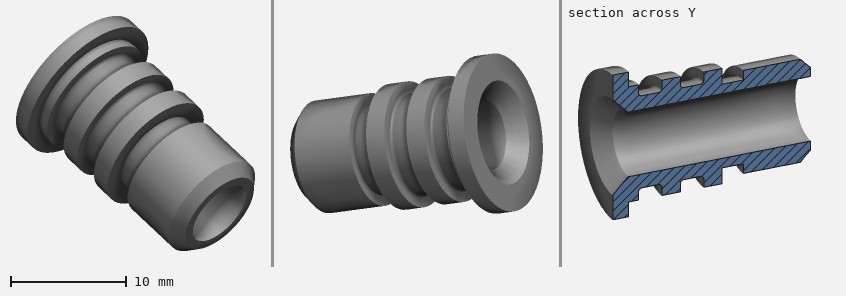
import cadquery as cq

length = 19.0
flange_diameter = 13.8
flange_thickness = 1.55
collar_diameter = 11.0
first_collar_width = 0.95
rib_width = 1.8
groove_diameter = 8.8
groove_width = 2.2
groove_fillet = 0.3
neck_diameter = 8.0
neck_width = 2.0
nose_diameter = 9.85
nose_chamfer = 1.0
bore_diameter = 6.1
countersink_diameter = 9.06
countersink_depth = 1.48

first_groove_start = flange_thickness + first_collar_width
groove_pitch = groove_width + rib_width
groove_starts = [first_groove_start + i * groove_pitch for i in range(2)]
neck_start = first_groove_start + 2 * groove_pitch
nose_start = neck_start + neck_width


def cylinder(start, end, diameter):
    """Solid cylinder centred on the X axis."""
    return cq.Workplane("YZ", origin=(start, 0, 0)).circle(diameter / 2).extrude(end - start)


def groove_cutter(start):
    """Ring that cuts one groove and leaves fillets at both bottom corners."""
    end = start + groove_width
    bottom = groove_diameter / 2
    top = flange_diameter / 2
    section = (
        cq.Workplane("XY")
        .moveTo(start, top)
        .lineTo(start, bottom + groove_fillet)
        .radiusArc((start + groove_fillet, bottom), -groove_fillet)
        .lineTo(end - groove_fillet, bottom)
        .radiusArc((end, bottom + groove_fillet), -groove_fillet)
        .lineTo(end, top)
        .close()
    )
    return section.revolve(360, (0, 0, 0), (1, 0, 0))


def countersink_cutter():
    """Cone that opens the bore at the flange face."""
    section = cq.Workplane("XY").polyline([
        (0, 0),
        (0, countersink_diameter / 2),
        (countersink_depth, bore_diameter / 2),
        (countersink_depth, 0),
    ]).close()
    return section.revolve(360, (0, 0, 0), (1, 0, 0))


flange = cylinder(0, flange_thickness, flange_diameter)
barrel = cylinder(flange_thickness, neck_start, collar_diameter)
for groove_start in groove_starts:
    barrel = barrel.cut(groove_cutter(groove_start))
neck = cylinder(neck_start, nose_start, neck_diameter)
nose = cylinder(nose_start, length, nose_diameter).faces(">X").chamfer(nose_chamfer)
body = flange.union(barrel).union(neck).union(nose)

result = body.cut(cylinder(0, length, bore_diameter)).cut(countersink_cutter())